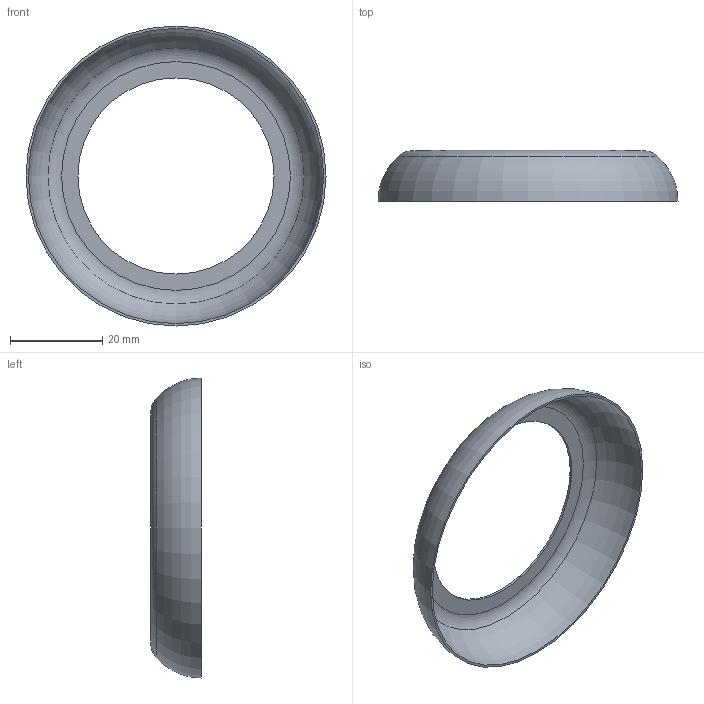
import cadquery as cq
import math

rim_radius = 32.5
depth = 11.0
hole_radius = 21.25
wall = 0.5
bulge_radius = 13.0
corner_radius = 5.0

bulge_center = rim_radius - bulge_radius
corner_height = depth - corner_radius
flat_radius = bulge_center + math.sqrt((bulge_radius - corner_radius) ** 2 - corner_height**2)
joint_angle = math.atan2(corner_height, flat_radius - bulge_center)


def bulge_point(angle, inset):
    """Point on the bulge arc, set in from the outer skin by inset."""
    radius = bulge_radius - inset
    return (bulge_center + radius * math.cos(angle), radius * math.sin(angle))


def corner_point(angle, inset):
    """Point on the corner arc, set in from the outer skin by inset."""
    radius = corner_radius - inset
    return (flat_radius + radius * math.cos(angle), corner_height + radius * math.sin(angle))


def ring():
    """Wall section of even thickness, revolved about the Y axis."""
    back_angle = math.pi / 2
    bulge_middle = joint_angle / 2
    corner_middle = (joint_angle + back_angle) / 2
    section = (
        cq.Workplane("XY")
        .moveTo(rim_radius, 0)
        .threePointArc(bulge_point(bulge_middle, 0), bulge_point(joint_angle, 0))
        .threePointArc(corner_point(corner_middle, 0), corner_point(back_angle, 0))
        .lineTo(hole_radius, depth)
        .lineTo(hole_radius, depth - wall)
        .lineTo(flat_radius, depth - wall)
        .threePointArc(corner_point(corner_middle, wall), corner_point(joint_angle, wall))
        .threePointArc(bulge_point(bulge_middle, wall), bulge_point(0, wall))
        .close()
    )
    return section.revolve(360, (0, 0, 0), (0, 1, 0))


result = ring()